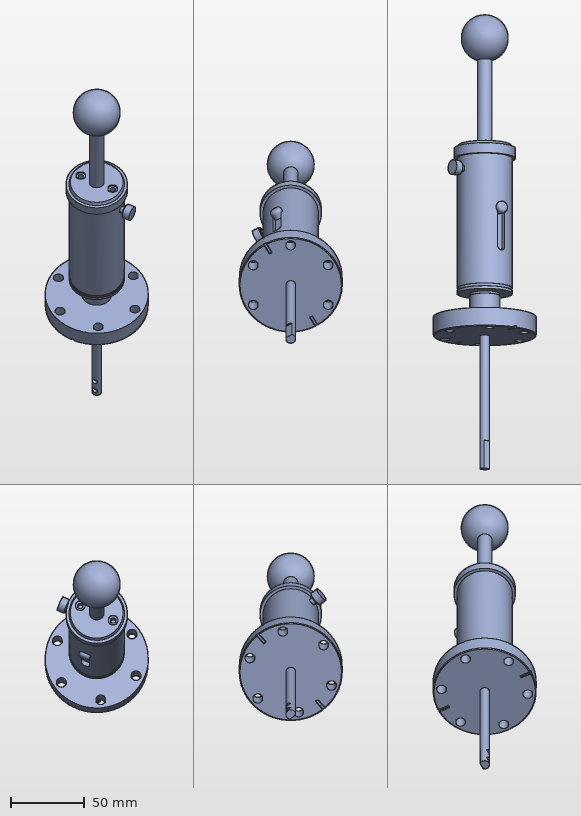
import cadquery as cq

total_height = 313.7
flange_bottom = 92.0
flange_thickness = 13.0
body_bottom = 121.0
body_top = 223.7
flange_top = flange_bottom + flange_thickness

flange_diameter = 70.0
flange_edge_chamfer = 0.5
bolt_circle_diameter = 58.7
bolt_hole_diameter = 6.5
bolt_count = 6
leak_groove_width = 2.0
leak_groove_height = 1.5
leak_groove_length = 7.8

neck_diameter = 20.7
neck_relief_diameter = 20.0
neck_relief_height = 1.5
body_diameter = 37.5
body_groove_depth = 0.3
body_groove_height = 2.0
body_groove_offset = 2.0
collar_diameter = 41.7
collar_height = 7.0
cap_lip_height = 2.2
cap_taper = 1.0
cap_hole_diameter = 3.8
cap_hole_depth = 6.3
cap_counterbore_diameter = 6.5
cap_counterbore_depth = 1.3
cap_hole_offset = 12.2
collar_top = body_top - cap_lip_height
collar_bottom = collar_top - collar_height

slot_width = 6.0
slot_depth = 3.0
slot_bottom = 148.5
slot_top = 182.0
stop_screw_z = 178.0
stop_screw_diameter = 8.0
stop_screw_reach = 21.5
stop_screw_dome = 2.0

thumbscrew_z = 205.5
thumbscrew_shank_diameter = 4.7
thumbscrew_head_diameter = 10.0
thumbscrew_head_start = 21.5
thumbscrew_head_end = 27.3
thumbscrew_head_chamfer = 0.5

ball_diameter = 32.0
handle_rod_diameter = 10.0
ball_z = total_height - ball_diameter / 2

sample_rod_diameter = 6.5
flat_length = 19.0
flat_depth = 1.0
rod_hole_diameter = 3.8
rod_hole_depth = 2.5
rod_hole_heights = (4.7, 14.0)


def cylinder(diameter, bottom, top):
    """Cylinder on the Z axis between two heights."""
    return cq.Workplane("XY").workplane(offset=bottom).circle(diameter / 2).extrude(top - bottom)


def cylinder_along_x(diameter, start, end, height):
    """Cylinder parallel to X, centred on the XZ plane at the given height."""
    return cq.Workplane("YZ", origin=(start, 0, height)).circle(diameter / 2).extrude(end - start)


def make_flange():
    flange = cylinder(flange_diameter, flange_bottom, flange_top)
    flange = flange.faces("<Z").edges().chamfer(flange_edge_chamfer)
    bolt_holes = (
        cq.Workplane("XY")
        .workplane(offset=flange_bottom)
        .polarArray(bolt_circle_diameter / 2, 0, 360, bolt_count)
        .circle(bolt_hole_diameter / 2)
        .extrude(flange_thickness)
    )
    flange = flange.cut(bolt_holes)
    for side in (-1, 1):
        groove = cq.Workplane("XY").box(leak_groove_width, 2 * leak_groove_length, 2 * leak_groove_height)
        flange = flange.cut(groove.translate((0, side * flange_diameter / 2, flange_bottom)))
    return flange


def make_housing():
    neck = cylinder(neck_diameter, flange_top, body_bottom - neck_relief_height)
    neck_relief = cylinder(neck_relief_diameter, flange_top, body_bottom)
    body = (
        cylinder(body_diameter, body_bottom, body_top)
        .faces(">Z")
        .edges()
        .chamfer(cap_lip_height, cap_taper)
    )
    groove_bottom = body_bottom + body_groove_offset
    groove_top = groove_bottom + body_groove_height
    groove = cylinder(body_diameter, groove_bottom, groove_top).cut(
        cylinder(body_diameter - 2 * body_groove_depth, groove_bottom, groove_top)
    )
    body = body.cut(groove)
    collar = cylinder(collar_diameter, collar_bottom, collar_top)
    slot = (
        cq.Workplane("XZ", origin=(0, body_diameter / 2, (slot_bottom + slot_top) / 2))
        .slot2D(slot_top - slot_bottom, slot_width, 90)
        .extrude(slot_depth)
    )
    housing = neck.union(neck_relief).union(body).union(collar).cut(slot)
    return (
        housing.faces(">Z")
        .workplane(origin=(0, 0, body_top))
        .pushPoints([(-cap_hole_offset, 0), (cap_hole_offset, 0)])
        .cboreHole(cap_hole_diameter, cap_counterbore_diameter, cap_counterbore_depth, cap_hole_depth)
    )


def make_stop_screw():
    screw = (
        cq.Workplane("XZ", origin=(0, 0, stop_screw_z))
        .circle(stop_screw_diameter / 2)
        .extrude(-stop_screw_reach)
    )
    return screw.faces(">Y").edges().fillet(stop_screw_dome)


def make_thumbscrew():
    shank = cylinder_along_x(thumbscrew_shank_diameter, 0, thumbscrew_head_end, thumbscrew_z)
    head = cylinder_along_x(
        thumbscrew_head_diameter, thumbscrew_head_start, thumbscrew_head_end, thumbscrew_z
    )
    head = head.faces("<X").edges().chamfer(thumbscrew_head_chamfer)
    return shank.union(head)


def make_handle():
    rod = cylinder(handle_rod_diameter, collar_bottom, ball_z)
    ball = cq.Workplane("XY").sphere(ball_diameter / 2).translate((0, 0, ball_z))
    return rod.union(ball)


def make_sample_rod():
    rod = cylinder(sample_rod_diameter, 0, flange_top)
    flat_y = sample_rod_diameter / 2 - flat_depth
    flat = cq.Workplane("XY").box(
        sample_rod_diameter, flat_depth, flat_length, centered=(True, False, False)
    )
    rod = rod.cut(flat.translate((0, flat_y, 0)))
    for height in rod_hole_heights:
        hole = (
            cq.Workplane("XZ", origin=(0, -sample_rod_diameter / 2, height))
            .circle(rod_hole_diameter / 2)
            .extrude(-rod_hole_depth)
        )
        rod = rod.cut(hole)
    return rod


result = make_flange()
for component in (
    make_housing(),
    make_stop_screw(),
    make_thumbscrew(),
    make_handle(),
    make_sample_rod(),
):
    result = result.union(component)